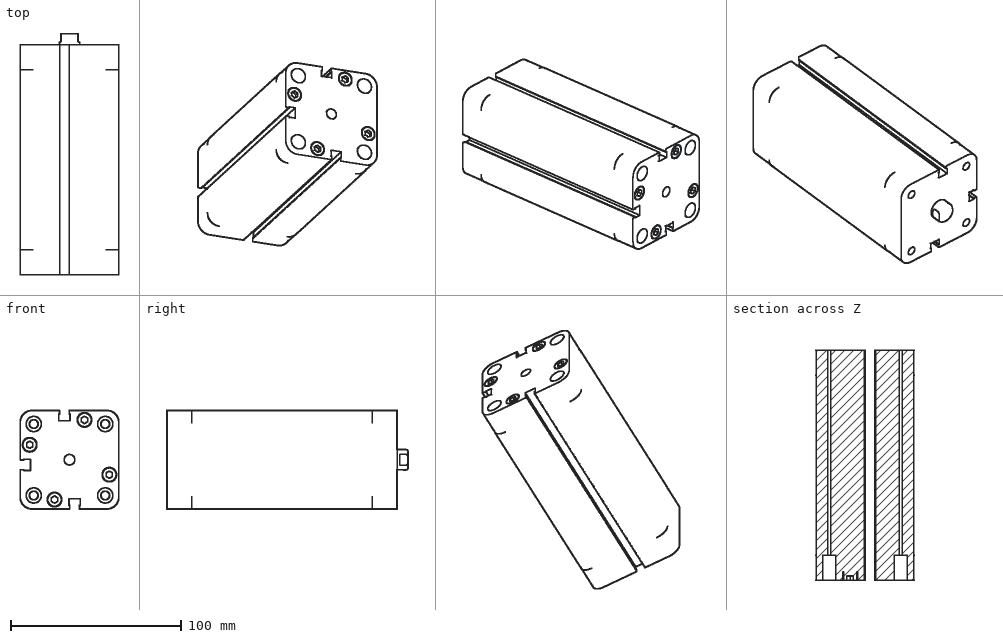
import cadquery as cq
import math

total_length = 142.0
side = 58.1
rod_projection = 6.5
housing_length = total_length - rod_projection
half_side = side / 2

cap_length = 14.8
barrel_length = housing_length - 2 * cap_length
cap_corner_radius = 7.4
barrel_corner_radius = 7.0

slot_offset = 3.0
slot_mouth_width = 5.5
slot_channel_width = 6.5
slot_mouth_depth = 2.3
slot_depth = 6.0
slot_edge_radius = 0.4
slot_angles = (180, 270, 0)

mounting_spacing = 42.0
mounting_hole_diameter = 5.0
mounting_bore_diameter = 9.0
mounting_bore_depth = cap_length

screw_near_offset = 8.8
screw_far_offset = 23.5
screw_recess_diameter = 8.5
screw_head_diameter = 8.0
screw_head_height = 5.0
hex_across_flats = 3.7
hex_depth = 2.5

port_diameter = 6.2
port_depth = cap_length

rod_diameter = 12.0
rod_radius = rod_diameter / 2
rod_tip_radius = 1.4
flat_spacing = 10.1
flat_length = 4.4
flat_end_radius = 0.7


def front_plane(y=0.0):
    """Sketch plane parallel to the front face, with local Z pointing along +Y."""
    return cq.Workplane(cq.Plane(origin=(0, y, 0), xDir=(1, 0, 0), normal=(0, 1, 0)))


def housing_section(start, length, corner_radius):
    section = front_plane(start).rect(side, side).extrude(length).edges("|Y").fillet(corner_radius)
    for angle in slot_angles:
        section = section.cut(sensor_slot(angle))
    return section


def sensor_slot(angle):
    """Full-length slot cutter for the +Z side, turned about Y onto its own side."""
    mouth = slot_mouth_width / 2
    channel = slot_channel_width / 2
    radius = slot_edge_radius
    floor = half_side - slot_depth
    lip = half_side - slot_mouth_depth
    cutter = (
        cq.Workplane("XZ")
        .moveTo(-mouth - radius, half_side)
        .radiusArc((-mouth, half_side - radius), radius)
        .lineTo(-mouth, lip)
        .lineTo(-channel, lip)
        .lineTo(-channel, floor)
        .lineTo(channel, floor)
        .lineTo(channel, lip)
        .lineTo(mouth, lip)
        .lineTo(mouth, half_side - radius)
        .radiusArc((mouth + radius, half_side), radius)
        .close()
        .extrude(-housing_length)
    )
    return cutter.translate((-slot_offset, 0, 0)).rotate((0, 0, 0), (0, 1, 0), angle)


def mounting_holes():
    holes = front_plane().rect(mounting_spacing, mounting_spacing, forConstruction=True).vertices()
    through = holes.circle(mounting_hole_diameter / 2).extrude(housing_length)
    bores = holes.circle(mounting_bore_diameter / 2).extrude(mounting_bore_depth)
    return through.union(bores)


def screw_recesses():
    """Clearance ring around each screw head plus its hexagon socket."""
    near = screw_near_offset
    far = screw_far_offset
    centres = [(near, -far), (far, near), (-near, far), (-far, -near)]
    screws = front_plane().pushPoints(centres)
    rings = (
        screws.circle(screw_recess_diameter / 2)
        .circle(screw_head_diameter / 2)
        .extrude(screw_head_height)
    )
    sockets = (
        screws.sketch().regularPolygon(hex_across_flats / math.sqrt(3), 6, angle=0).finalize()
        .extrude(hex_depth)
    )
    return rings.union(sockets)


def central_port():
    return front_plane().circle(port_diameter / 2).extrude(port_depth)


def piston_rod():
    root = housing_length - cap_length / 2
    rod = (
        cq.Workplane("XY")
        .moveTo(0, root)
        .lineTo(rod_radius, root)
        .lineTo(rod_radius, total_length)
        .lineTo(0, total_length)
        .close()
        .revolve(360, (0, 0, 0), (0, 1, 0))
        .faces(">Y").edges().fillet(rod_tip_radius)
    )
    flat_start = total_length - flat_length
    flat_cutter = (
        cq.Workplane("XY")
        .moveTo(flat_spacing / 2, total_length)
        .lineTo(flat_spacing / 2, flat_start)
        .radiusArc((flat_spacing / 2 + flat_end_radius, flat_start - flat_end_radius), -flat_end_radius)
        .lineTo(rod_diameter, flat_start - flat_end_radius)
        .lineTo(rod_diameter, total_length)
        .close()
        .extrude(rod_radius, both=True)
    )
    return rod.cut(flat_cutter).cut(flat_cutter.mirror("YZ"))


front_cap = housing_section(0, cap_length, cap_corner_radius)
barrel = housing_section(cap_length, barrel_length, barrel_corner_radius)
rear_cap = housing_section(cap_length + barrel_length, cap_length, cap_corner_radius)

result = front_cap.union(barrel, clean=False).union(rear_cap, clean=False)
for recess in (mounting_holes(), screw_recesses(), central_port()):
    result = result.cut(recess, clean=False)
result = result.union(piston_rod(), clean=False)